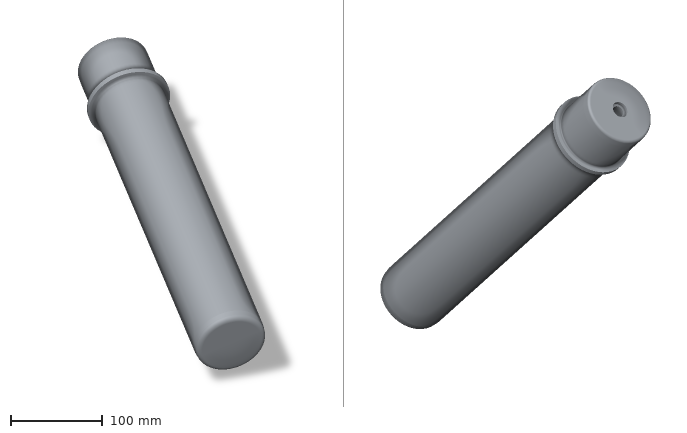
import cadquery as cq

length = 460.0
body_radius = 40.0
flange_radius = 46.5

head_round = 3.0
head_taper_end = 10.0
head_taper_drop = 0.25

flange_start = 60.0
flange_end = 66.0
head_fillet = 1.5
shank_fillet = 2.8
relief_end = 74.0
relief_drop = 0.25

tail_taper_start = 449.0
tail_taper_drop = 0.7
tail_round = 5.5

hole_radius = 6.5
counterbore_radius = 9.0
counterbore_depth = 4.5
hole_depth = 27.5
drill_tip_depth = 3.5


def pin_body():
    """Turn the whole outside of the pin from half of its section."""
    head_radius = body_radius - head_taper_drop
    relief_radius = body_radius - relief_drop
    tail_radius = body_radius - tail_taper_drop
    arc_share = 1 - 0.5 ** 0.5

    def fillet_middle(wall_x, direction, base_radius, size):
        return (wall_x + direction * arc_share * size, base_radius + arc_share * size)

    section = (
        cq.Workplane("XY")
        .lineTo(0, head_radius - head_round)
        .threePointArc(
            (arc_share * head_round, head_radius - arc_share * head_round),
            (head_round, head_radius),
        )
        .lineTo(head_taper_end, body_radius)
        .lineTo(flange_start - head_fillet, body_radius)
        .threePointArc(
            fillet_middle(flange_start, -1, body_radius, head_fillet),
            (flange_start, body_radius + head_fillet),
        )
        .lineTo(flange_start, flange_radius)
        .lineTo(flange_end, flange_radius)
        .lineTo(flange_end, relief_radius + shank_fillet)
        .threePointArc(
            fillet_middle(flange_end, 1, relief_radius, shank_fillet),
            (flange_end + shank_fillet, relief_radius),
        )
        .lineTo(relief_end, body_radius)
        .lineTo(tail_taper_start, body_radius)
        .lineTo(length - tail_round, tail_radius)
        .threePointArc(
            (length - arc_share * tail_round, tail_radius - arc_share * tail_round),
            (length, tail_radius - tail_round),
        )
        .lineTo(length, 0)
        .close()
    )
    return section.revolve(360, (0, 0, 0), (1, 0, 0))


def centre_hole():
    """Drilled hole with a counterbored mouth and a conical bottom."""
    return (
        cq.Workplane("XY")
        .lineTo(0, counterbore_radius)
        .lineTo(counterbore_depth, counterbore_radius)
        .lineTo(counterbore_depth, hole_radius)
        .lineTo(hole_depth, hole_radius)
        .lineTo(hole_depth + drill_tip_depth, 0)
        .close()
        .revolve(360, (0, 0, 0), (1, 0, 0))
    )


result = pin_body().cut(centre_hole())